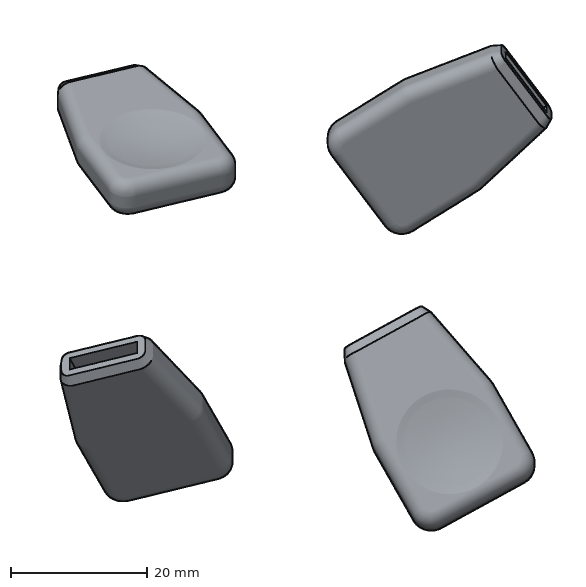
import cadquery as cq
import math

length = 30.0
width = 20.0
thickness = 6.0
taper_length = 15.0
open_end_width = 14.0
corner_radius = 3.0
edge_radius = 2.0

bevel_length = 1.5
bevel_drop = 0.77
bevel_end_width = 13.14

dish_x = 20.0
rim_radius = 7.85
bowl_radius = 6.75
rim_depth = 0.24
dish_depth = 0.90

socket_width = 10.6
socket_height = 2.2
socket_depth = 12.0


def make_body():
    """Flat tapered plate with rounded plan corners and rounded long edges."""
    half_end = open_end_width / 2
    half_width = width / 2
    outline = [
        (0, -half_end),
        (taper_length, -half_width),
        (length, -half_width),
        (length, half_width),
        (taper_length, half_width),
        (0, half_end),
    ]
    plate = (
        cq.Workplane("XY")
        .workplane(offset=-thickness / 2)
        .polyline(outline)
        .close()
        .extrude(thickness)
    )
    plate = plate.edges("|Z and (not <X)").fillet(corner_radius)
    return plate.faces("|Z").edges("not <X").fillet(edge_radius)


def make_bevel_envelope():
    """Rounded rectangle flaring away from the open end, which trims the bevel."""
    flare_angle = math.degrees(math.atan2(bevel_drop, bevel_length))
    end_height = thickness - 2 * bevel_drop
    return (
        cq.Workplane("YZ")
        .sketch()
        .rect(bevel_end_width, end_height)
        .vertices()
        .fillet(edge_radius - bevel_drop)
        .finalize()
        .extrude(length, taper=-flare_angle)
    )


def make_dish():
    """Revolved cutter for the finger dish."""
    bowl_depth = dish_depth - rim_depth
    sphere_radius = (bowl_radius**2 + bowl_depth**2) / (2 * bowl_depth)
    half_angle = math.asin(bowl_radius / sphere_radius) / 2
    arc_middle = (
        sphere_radius * math.sin(half_angle),
        sphere_radius * (1 - math.cos(half_angle)) - dish_depth,
    )
    return (
        cq.Workplane("XZ")
        .moveTo(0, 0)
        .lineTo(0, -dish_depth)
        .threePointArc(arc_middle, (bowl_radius, -rim_depth))
        .lineTo(rim_radius, 0)
        .close()
        .revolve(360, (0, 0, 0), (0, 1, 0))
        .translate((dish_x, 0, thickness / 2))
    )


def make_socket():
    """Blind rectangular cutter reaching in from the open end."""
    return cq.Workplane("YZ").rect(socket_width, socket_height).extrude(socket_depth)


result = make_body().intersect(make_bevel_envelope()).cut(make_dish()).cut(make_socket())